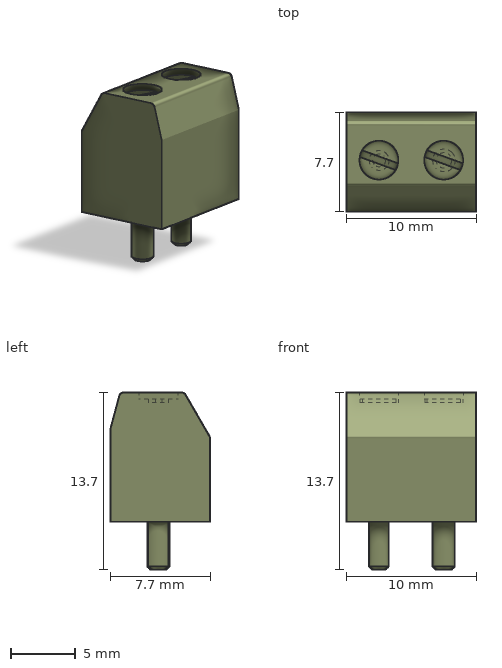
import cadquery as cq
import math

body_width = 10.0
body_depth = 7.7
body_height = 10.0
total_height = 13.7
rear_offset = 3.7
rear_drop = 2.8
rear_angle = 15.0
front_drop = 3.47
front_angle = 30.0
edge_radius = 0.4

pitch = body_width / 2
screw_diameter = 3.0
screw_recess = 0.51
slot_width = 0.55
slot_depth = 0.27
slot_angle = -20.0
left_pin_diameter = 1.53
right_pin_diameter = 1.74
pin_chamfer = 0.27
pin_length = total_height - body_height

rear_y = rear_offset
front_y = rear_y - body_depth
rear_top_y = rear_y - rear_drop * math.tan(math.radians(rear_angle))
front_top_y = front_y + front_drop * math.tan(math.radians(front_angle))
front_shoulder_z = body_height - front_drop


def make_housing():
    """Extrude the sloped profile along X and round its upper edges."""
    profile = [
        (front_y, 0),
        (rear_y, 0),
        (rear_y, body_height - rear_drop),
        (rear_top_y, body_height),
        (front_top_y, body_height),
        (front_y, front_shoulder_z),
    ]
    housing = cq.Workplane("YZ").polyline(profile).close().extrude(body_width / 2, both=True)
    rounded_corners = [
        (0, rear_top_y, body_height),
        (0, front_top_y, body_height),
        (0, front_y, front_shoulder_z),
    ]
    for corner in rounded_corners:
        housing = housing.edges(cq.selectors.NearestToPointSelector(corner)).fillet(edge_radius)
    return housing


def make_screw_cut(x):
    """Round recess down to the screw head, with a driver slot across the head."""
    head_z = body_height - screw_recess
    slot_floor = cq.Workplane("XY").workplane(offset=head_z - slot_depth).center(x, 0)
    recess = cq.Workplane("XY").workplane(offset=head_z).center(x, 0)
    recess = recess.circle(screw_diameter / 2).extrude(screw_recess)
    slot_bounds = slot_floor.circle(screw_diameter / 2).extrude(slot_depth)
    slot_bar = slot_floor.transformed(rotate=(0, 0, slot_angle))
    slot_bar = slot_bar.rect(2 * screw_diameter, slot_width).extrude(slot_depth)
    return recess.union(slot_bounds.intersect(slot_bar))


def make_pin(x, diameter):
    """Solder pin hanging below the housing, chamfered at its tip."""
    pin = cq.Workplane("XY").center(x, 0).circle(diameter / 2).extrude(-pin_length)
    return pin.faces("<Z").chamfer(pin_chamfer)


result = make_housing()
for side, pin_diameter in ((-1, left_pin_diameter), (1, right_pin_diameter)):
    terminal_x = side * pitch / 2
    result = result.cut(make_screw_cut(terminal_x))
    result = result.union(make_pin(terminal_x, pin_diameter))